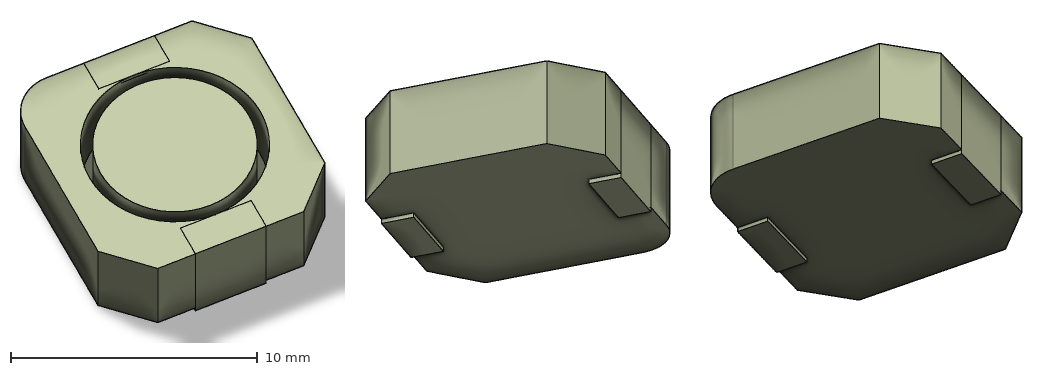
import cadquery as cq

length = 10.5
width = 10.2
height = 4.0
corner = 1.82

core_radius = 3.335
core_gap = 0.5
bore_radius = core_radius + core_gap
bore_depth = 3.0

sheet = 0.2
terminal_width = 3.18
terminal_reach = length / 2 - bore_radius


def upright_box(size_x, size_y, bottom, top):
    """Box centred in X and Y between two heights."""
    plane = cq.Workplane("XY").workplane(offset=bottom)
    return plane.rect(size_x, size_y).extrude(top - bottom)


def terminal(side):
    """C-shaped clip with its spine on the -X (side = -1) or +X (side = 1) face."""
    block = upright_box(terminal_reach, terminal_width, 0, height)
    opening = upright_box(terminal_reach, terminal_width, sheet, height - sheet)
    clip = block.cut(opening.translate((-side * sheet, 0, 0)))
    return clip.translate((side * (length - terminal_reach) / 2, 0, 0))


def housing_block():
    """Block with a rounded corner at -X -Y and three chamfered corners."""
    block = upright_box(length, width, sheet, height)
    block = block.edges("|Z and (>X or >Y)").chamfer(corner)
    return block.edges("|Z and (<X and <Y)").fillet(corner)


terminals = [terminal(side) for side in (-1, 1)]

bore_floor = height - bore_depth
bore = cq.Workplane("XY").workplane(offset=bore_floor).circle(bore_radius).extrude(bore_depth)
housing = housing_block().cut(bore)
for clip in terminals:
    housing = housing.cut(clip)

core = cq.Workplane("XY").workplane(offset=bore_floor).circle(core_radius).extrude(bore_depth)

result = cq.Compound.makeCompound(
    [housing.val(), core.val(), *[clip.val() for clip in terminals]]
)